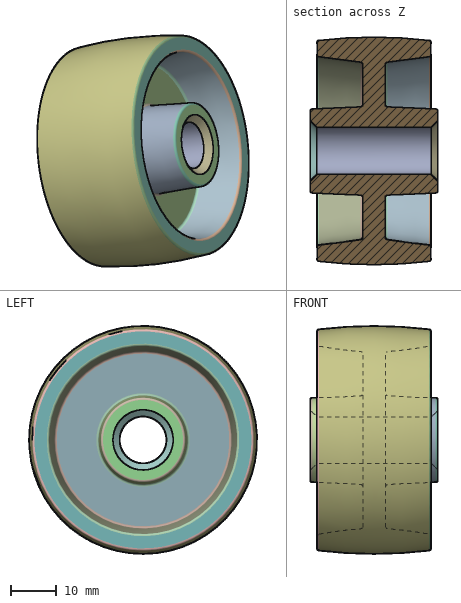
import cadquery as cq
import math

tread_radius = 25.0
tread_width = 25.0
hub_width = 28.0
crown_radius = 100.0

bore_radius = 5.1
lead_in_radius = 6.6
lead_in_depth = lead_in_radius - bore_radius

web_thickness = 5.0
hub_tip_radius = 9.25
hub_base_radius = 9.75
rim_mouth_radius = 20.65
rim_root_radius = 19.35

edge_fillet = 0.5

half_tread = tread_width / 2
half_hub = hub_width / 2
half_web = web_thickness / 2
crown_drop = crown_radius - math.sqrt(crown_radius**2 - half_tread**2)
tread_edge_radius = tread_radius - crown_drop


def wheel_body():
    """Revolve the full section, drawn as (axial position, radius)."""
    profile = (
        cq.Workplane("XY")
        .moveTo(-half_hub, 0)
        .lineTo(-half_hub, hub_tip_radius)
        .lineTo(-half_web, hub_base_radius)
        .lineTo(-half_web, rim_root_radius)
        .lineTo(-half_tread, rim_mouth_radius)
        .lineTo(-half_tread, tread_edge_radius)
        .threePointArc((0, tread_radius), (half_tread, tread_edge_radius))
        .lineTo(half_tread, rim_mouth_radius)
        .lineTo(half_web, rim_root_radius)
        .lineTo(half_web, hub_base_radius)
        .lineTo(half_hub, hub_tip_radius)
        .lineTo(half_hub, 0)
        .close()
    )
    return profile.revolve(360, (0, 0, 0), (1, 0, 0))


def bore_cutter():
    """Through bore that widens into a cone at each hub face."""
    cone_start = half_hub - lead_in_depth
    profile = (
        cq.Workplane("XY")
        .moveTo(-half_hub, 0)
        .lineTo(-half_hub, lead_in_radius)
        .lineTo(-cone_start, bore_radius)
        .lineTo(cone_start, bore_radius)
        .lineTo(half_hub, lead_in_radius)
        .lineTo(half_hub, 0)
        .close()
    )
    return profile.revolve(360, (0, 0, 0), (1, 0, 0))


rounded_body = wheel_body().faces("|X").edges().fillet(edge_fillet)
result = rounded_body.cut(bore_cutter())